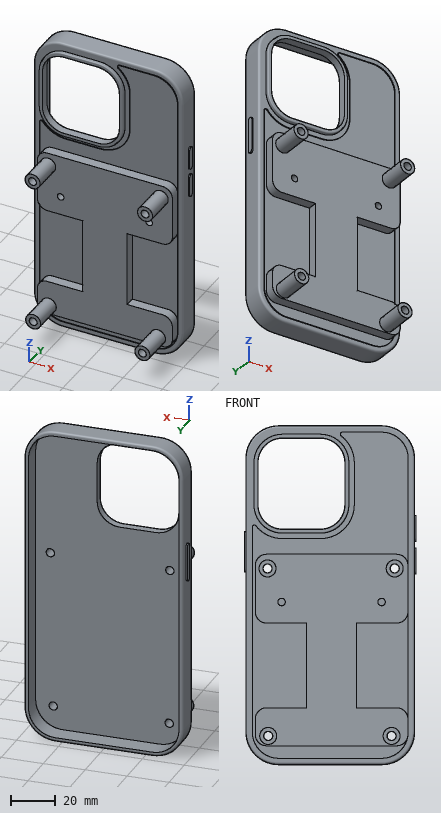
import cadquery as cq


case_width = 75.7
case_height = 152.0
case_depth = 11.7
case_corner_radius = 14.7
case_edge_fillet = 1.0
side_wall = 2.0
back_wall = 2.3

recess_inset = 2.9
recess_depth = 0.5
recess_tip_fillet = 0.9

camera_x = -12.9
camera_z = 50.0
opening_width = 38.9
opening_height = 40.7
opening_radius = 11.0
frame_wall = 1.8
frame_height = 2.0
frame_fillet = 0.5
frame_margin = 2.5

plate_x = 0.6
plate_width = 68.4
plate_height = 4.5
plate_corner_radius = 5.0
plate_top = 18.4
plate_bottom = -67.5
upper_bar_height = 30.9
lower_bar_height = 17.0
web_width = 22.5

standoff_diameter = 7.6
standoff_height = 15.0
standoff_hole_diameter = 4.0
standoff_centres = [(-28.1, 12.0), (28.9, 12.0), (-27.8, -63.1), (27.5, -63.1)]
pin_hole_diameter = 3.3
pin_hole_spacing = 44.8
pin_hole_z = -3.0

button_projection = 0.68
button_width = 2.9
button_y = 6.4
buttons = [(-1, 19.5, 18.2), (1, 30.0, 11.7), (1, 15.4, 11.7)]


def rounded_block(x, z, width, height, radius, y_start, y_end):
    """Block centred at (x, z) with rounded corners, running along Y from y_start to y_end."""
    block = cq.Workplane("XY").box(width, y_end - y_start, height).edges("|Y").fillet(radius)
    return block.translate((x, (y_start + y_end) / 2, z))


def camera_block(offset, y_start, y_end):
    """Block following the camera opening outline, grown outwards by offset."""
    return rounded_block(
        camera_x,
        camera_z,
        opening_width + 2 * offset,
        opening_height + 2 * offset,
        opening_radius + offset,
        y_start,
        y_end,
    )


def cylinders(centres, diameter, y_start, y_end):
    """Round bars along Y at the given (x, z) centres."""
    plane = cq.Workplane("XZ", origin=(0, y_end, 0))
    return plane.pushPoints(centres).circle(diameter / 2).extrude(y_end - y_start)


def make_shell():
    outside = rounded_block(0, 0, case_width, case_height, case_corner_radius, 0, case_depth)
    outside = outside.faces("<Y or >Y").edges().fillet(case_edge_fillet)
    cavity = rounded_block(
        0,
        0,
        case_width - 2 * side_wall,
        case_height - 2 * side_wall,
        case_corner_radius - side_wall,
        back_wall,
        case_depth,
    )
    return outside.cut(cavity)


def make_recess():
    panel = rounded_block(
        0,
        0,
        case_width - 2 * recess_inset,
        case_height - 2 * recess_inset,
        case_corner_radius - recess_inset,
        0,
        recess_depth,
    )
    camera_margin = camera_block(frame_wall + frame_margin, 0, recess_depth)
    panel = panel.cut(camera_margin)
    left_tip = cq.selectors.NearestToPointSelector((-case_width / 2, 0, camera_z - opening_height / 2))
    top_tip = cq.selectors.NearestToPointSelector((camera_x + opening_width / 2, 0, case_height / 2))
    for tip in (left_tip, top_tip):
        panel = panel.edges("|Y").edges(tip).fillet(recess_tip_fillet)
    return panel


def make_camera_frame():
    frame = camera_block(frame_wall, -frame_height, back_wall)
    return frame.faces("<Y").edges().fillet(frame_fillet)


def make_plate():
    def bar(top, height):
        return rounded_block(
            plate_x, top - height / 2, plate_width, height, plate_corner_radius, -plate_height, recess_depth
        )

    upper_bar = bar(plate_top, upper_bar_height)
    lower_bar = bar(plate_bottom + lower_bar_height, lower_bar_height)
    web_top = plate_top - upper_bar_height / 2
    web_bottom = plate_bottom + lower_bar_height / 2
    web = cq.Workplane("XY").box(web_width, plate_height + recess_depth, web_top - web_bottom)
    web = web.translate((plate_x, (recess_depth - plate_height) / 2, (web_top + web_bottom) / 2))
    return upper_bar.union(lower_bar).union(web)


def make_button(side, centre_z, length):
    """Slot-shaped button standing out from a side wall, rooted halfway through the wall."""
    root = side_wall / 2
    plane = cq.Workplane("YZ", origin=(side * (case_width / 2 - root), button_y, centre_z))
    return plane.slot2D(length, button_width, 90).extrude(side * (root + button_projection))


standoff_tip = -plate_height - standoff_height

result = make_shell().cut(make_recess())
result = result.union(make_camera_frame()).cut(camera_block(0, -frame_height, back_wall))
result = result.union(make_plate())
result = result.union(cylinders(standoff_centres, standoff_diameter, standoff_tip, -plate_height))
result = result.cut(cylinders(standoff_centres, standoff_hole_diameter, standoff_tip, back_wall))

pin_holes = [(plate_x + side * pin_hole_spacing / 2, pin_hole_z) for side in (-1, 1)]
result = result.cut(cylinders(pin_holes, pin_hole_diameter, -plate_height, 0))

for side, centre_z, length in buttons:
    result = result.union(make_button(side, centre_z, length))